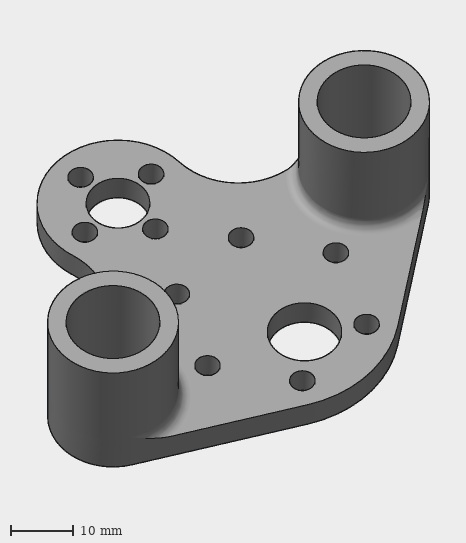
import cadquery as cq
import math

outer_length = 81.7
total_height = 24.0
plate_thickness = 5.0

tower_diameter = 21.0
tower_radius = tower_diameter / 2
tower_bore_radius = 7.5
tower_y = outer_length / 2 - tower_radius
tower_fillet = 2.0

ear_x = -25.8
ear_radius = 13.0
neck_radius = 12.5

nose_x = 7.1
nose_radius = 20.5

ear_bore_diameter = 10.2
ear_bore_radius = ear_bore_diameter / 2
ear_bolt_circle_radius = 8.0
nose_bore_x = 14.1
nose_bore_radius = 6.0
nose_bolt_circle_radius = 15.5
bolt_hole_radius = 2.05


def point_on_circle(center, radius, angle):
    return (center[0] + radius * math.cos(angle), center[1] + radius * math.sin(angle))


def direction(start, end):
    return math.atan2(end[1] - start[1], end[0] - start[0])


def mirrored(point):
    return (point[0], -point[1])


def neck_center():
    """Center of the concave arc that touches both the ear circle and the upper tower circle."""
    to_ear = ear_radius + neck_radius
    to_tower = tower_radius + neck_radius
    span = math.hypot(ear_x, tower_y)
    angle_at_ear = math.acos((to_ear**2 + span**2 - to_tower**2) / (2 * to_ear * span))
    return point_on_circle((ear_x, 0), to_ear, math.atan2(tower_y, -ear_x) + angle_at_ear)


def outline_solid(height):
    """Prism of the plate outline: ear, concave necks, tower ends and rounded nose."""
    ear = (ear_x, 0)
    tower = (0, tower_y)
    nose = (nose_x, 0)
    neck = neck_center()

    ear_end = point_on_circle(ear, ear_radius, direction(ear, neck))
    neck_to_ear = direction(neck, ear) + 2 * math.pi
    neck_to_tower = direction(neck, tower) + 2 * math.pi
    neck_mid = point_on_circle(neck, neck_radius, (neck_to_ear + neck_to_tower) / 2)
    tower_start = point_on_circle(tower, tower_radius, direction(tower, neck))
    tower_top = (0, tower_y + tower_radius)

    nose_to_tower = math.hypot(nose_x, tower_y)
    flank_normal = direction(nose, tower) - math.acos((nose_radius - tower_radius) / nose_to_tower)
    tower_end = point_on_circle(tower, tower_radius, flank_normal)
    nose_start = point_on_circle(nose, nose_radius, flank_normal)

    return (
        cq.Workplane("XY")
        .moveTo(*mirrored(ear_end))
        .threePointArc((ear_x - ear_radius, 0), ear_end)
        .threePointArc(neck_mid, tower_start)
        .threePointArc(tower_top, tower_end)
        .lineTo(*nose_start)
        .threePointArc((nose_x + nose_radius, 0), mirrored(nose_start))
        .lineTo(*mirrored(tower_end))
        .threePointArc(mirrored(tower_top), mirrored(tower_start))
        .threePointArc(mirrored(neck_mid), mirrored(ear_end))
        .close()
        .extrude(height)
    )


def cylinder(x, y, radius):
    return cq.Workplane("XY").center(x, y).circle(radius).extrude(total_height)


def fillet_collar(y):
    """Solid disc around a tower whose rim is the concave fillet down to the plate."""
    fillet_top = plate_thickness + tower_fillet
    foot_radius = tower_radius + tower_fillet
    arc_offset = tower_fillet * math.sqrt(0.5)
    return (
        cq.Workplane("XZ")
        .lineTo(foot_radius, 0)
        .lineTo(foot_radius, plate_thickness)
        .threePointArc((foot_radius - arc_offset, fillet_top - arc_offset), (tower_radius, fillet_top))
        .lineTo(0, fillet_top)
        .close()
        .revolve(360, (0, 0), (0, 1))
        .translate((0, y, 0))
    )


def bolt_circle(x, radius, count):
    """Cutters spaced evenly around a point on the X axis, starting on the +Y side."""
    return (
        cq.Workplane("XY")
        .center(x, 0)
        .polarArray(radius, 90, 360, count)
        .circle(bolt_hole_radius)
        .extrude(total_height)
    )


result = outline_solid(plate_thickness)
for y in (-tower_y, tower_y):
    collar = fillet_collar(y).intersect(outline_solid(total_height))
    result = result.union(collar).union(cylinder(0, y, tower_radius))

for y in (-tower_y, tower_y):
    result = result.cut(cylinder(0, y, tower_bore_radius))
result = result.cut(cylinder(ear_x, 0, ear_bore_radius))
result = result.cut(cylinder(nose_bore_x, 0, nose_bore_radius))

result = result.cut(bolt_circle(ear_x, ear_bolt_circle_radius, 4))
result = result.cut(bolt_circle(nose_x, nose_bolt_circle_radius, 6))